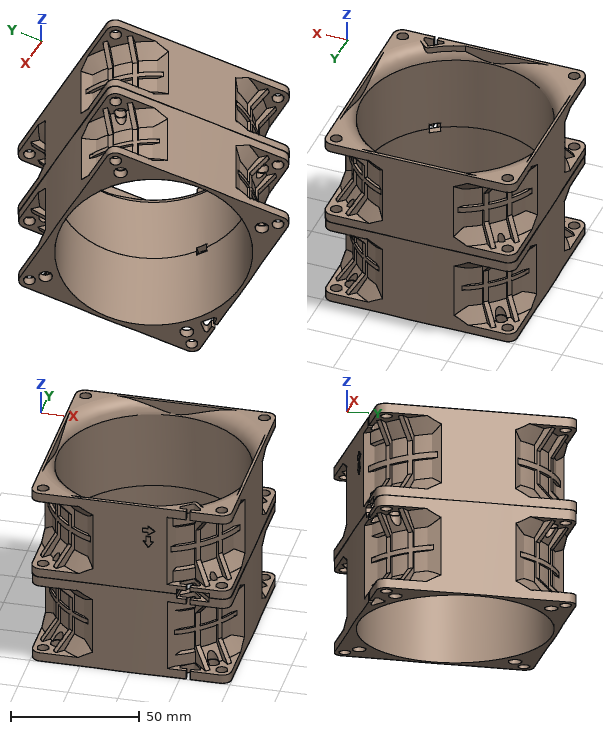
import cadquery as cq
import math

LOWER_HEIGHT = 38.28
UPPER_HEIGHT = 38.0
BORE_RADIUS = 38.5
CORE_RADIUS = 40.4
FLANGE = 3.8
CORNER_TANGENT = 36.1
SCREW_SPACING = 71.5
SCREW_DIAMETER = 4.5
CORNER_ANGLES = (45, 135, 225, 315)
SIDE_ANGLES = (0, 90, 180, 270)
CABLE_CORNER_ANGLE = 315
REACH = 70.0

POCKET_MOUTH_U = 38.75
POCKET_MOUTH_V = 17.8
CONE_RADIUS = 44.9
CONE_HEIGHT = 6.06
RIB_FOOT_RADIUS = 48.5
RIB_OFFSET = 5.0
RIB_THICKNESS = 2.0
CABLE_WALL_RADIUS = 41.2

UPPER_HALF_WIDTH = 40.0
UPPER_RIB_RADIUS = 41.6
UPPER_RIB_FOOT_HEIGHT = 8.3
UPPER_RING_THICKNESS = 2.4
UPPER_WALL_END = (38.2, 13.2)
UPPER_PIN_HOLE_DIAMETER = 2.7
UPPER_PIN_HOLE_U = 44.5

LOWER_HALF_WIDTH = 39.8
LOWER_TOP_FLANGE = 4.2
LOWER_RIB_RADIUS = 41.3
LOWER_RIB_FOOT_HEIGHT = 7.7
LOWER_RING_THICKNESS = 2.0
LOWER_WALL_END = (POCKET_MOUTH_U, 11.5)
LOWER_PIN_HOLE_DIAMETER = 4.4
LOWER_PIN_SEAT_DIAMETER = 5.2
LOWER_PIN_HOLE_U = 44.0
PANEL_HALF_WIDTH = 13.8
PANEL_CROWN = 40.085

MOUTH_RADIUS = 45.3
MOUTH_DEPTH = 5.77
MOUTH_ARC_POINT = (40.4, 2.3)
MOUTH_HALF_X = 38.9
MOUTH_HALF_Y = 38.65
MOUTH_FILL_RADIUS = 40.1
MOUTH_FILL_EDGE_V = 5.1
MOUTH_FILL_ROUNDING = 1.5

SLOT_GAP_LEFT = 22.35
SLOT_GAP_RIGHT = 24.0
SLOT_LEFT = 19.4
SLOT_RIGHT = 27.5
SLOT_FRONT = -38.26
SLOT_SHOULDER = -37.0
SLOT_APEX = (24.2, -33.4)
SLOT_ROUNDING = 0.6
WINDOW_LEFT = 18.65
WINDOW_LEFT_BACK = (19.2, -32.5)
WINDOW_RIGHT_BACK = (21.8, -30.0)
WINDOW_RIGHT = 31.8
WINDOW_HALF_HEIGHT = 2.0

ARROW_RELIEF = 0.295
ARROW_TAIL = 2.2
ARROW_HEAD = 2.7
ARROW_TAIL_HALF = 0.88
ARROW_HEAD_HALF = 2.0
AIRFLOW_ARROW_NECK = (7.4, 22.4)
ROTATION_ARROW_NECK = (7.3, 27.3)


def turned(shape, angle):
    """Shape turned about the bore axis."""
    return shape.rotate((0, 0, 0), (0, 0, 1), angle)


def cylinder(radius, bottom, top):
    return cq.Workplane("XY", origin=(0, 0, bottom)).circle(radius).extrude(top - bottom)


def rounded_block(half_width, height):
    block = cq.Workplane("XY").rect(2 * half_width, 2 * half_width).extrude(height)
    return block.edges("|Z").fillet(half_width - CORNER_TANGENT)


def spool(waist_radius, end_radius, slope_height, bottom, top):
    """Round body with a straight waist that widens conically to both ends."""
    profile = cq.Workplane("XZ").polyline([
        (0, bottom),
        (end_radius, bottom),
        (waist_radius, bottom + slope_height),
        (waist_radius, top - slope_height),
        (end_radius, top),
        (0, top),
    ]).close()
    return profile.revolve(360, (0, 0, 0), (0, 1, 0))


def corner_pocket(
    bottom, top, ring_height, wall_end, rib_radius, rib_foot_height, ring_thickness, has_cable,
):
    """Material removed between the flanges at a corner, leaving the duct, two ribs and a ring."""
    height = top - bottom
    wall_u, wall_v = wall_end
    room = cq.Workplane("XY", origin=(0, 0, bottom)).polyline([
        (REACH, -POCKET_MOUTH_V),
        (POCKET_MOUTH_U, -POCKET_MOUTH_V),
        (wall_u, -wall_v),
        (wall_u, wall_v),
        (POCKET_MOUTH_U, POCKET_MOUTH_V),
        (REACH, POCKET_MOUTH_V),
    ]).close().extrude(height)

    duct = spool(CORE_RADIUS, CONE_RADIUS, CONE_HEIGHT, bottom, top)
    rib_outline = spool(rib_radius, RIB_FOOT_RADIUS, rib_foot_height, bottom, top)
    rib_plates = (
        cq.Workplane("XY", origin=(0, 0, bottom))
        .pushPoints([(REACH / 2, -RIB_OFFSET), (REACH / 2, RIB_OFFSET)])
        .rect(REACH, RIB_THICKNESS)
        .extrude(height)
    )
    ring_plate = cq.Workplane("XY", origin=(0, 0, ring_height)).box(2 * REACH, 2 * REACH, ring_thickness)
    grid = rib_outline.intersect(rib_plates.union(ring_plate))

    pocket = room.cut(duct)
    if has_cable:
        pocket = pocket.union(cable_clearance(room, bottom, top))
    return pocket.cut(grid)


def cable_clearance(room, bottom, top):
    """Room beside the outer rib where the duct's conical ends are cut back for the cable."""
    rib_side = RIB_OFFSET + RIB_THICKNESS / 2
    beside_rib = (
        cq.Workplane("XY", origin=(0, -rib_side, bottom))
        .rect(REACH, -REACH, centered=False)
        .extrude(top - bottom)
    )
    return room.intersect(beside_rib).cut(cylinder(CABLE_WALL_RADIUS, bottom, top))


def cut_pockets(body, bottom, top, *pocket_sizes):
    for angle in CORNER_ANGLES:
        has_cable = angle == CABLE_CORNER_ANGLE
        body = body.cut(turned(corner_pocket(bottom, top, *pocket_sizes, has_cable), angle))
    return body


def screw_holes(height):
    return (
        cq.Workplane("XY")
        .rect(SCREW_SPACING, SCREW_SPACING, forConstruction=True)
        .vertices()
        .circle(SCREW_DIAMETER / 2)
        .extrude(height)
    )


def pin_holes(distance, diameter, bottom, top):
    """Vertical holes on the diagonals, close to the duct."""
    return (
        cq.Workplane("XY", origin=(0, 0, bottom))
        .polarArray(distance, CORNER_ANGLES[0], 360, len(CORNER_ANGLES))
        .circle(diameter / 2)
        .extrude(top - bottom)
    )


def cable_slot(bottom, top):
    """Rounded triangular cable channel with a narrow mouth in the front face of a flange."""
    channel = cq.Workplane("XY", origin=(0, 0, bottom)).polyline([
        (SLOT_LEFT, SLOT_FRONT),
        (SLOT_LEFT, SLOT_SHOULDER),
        SLOT_APEX,
        (SLOT_RIGHT, SLOT_SHOULDER),
        (SLOT_RIGHT, SLOT_FRONT),
    ]).close().extrude(top - bottom).edges("|Z").fillet(SLOT_ROUNDING)
    mouth = (
        cq.Workplane("XY", origin=(SLOT_GAP_LEFT, SLOT_SHOULDER, bottom))
        .rect(SLOT_GAP_RIGHT - SLOT_GAP_LEFT, -REACH, centered=False)
        .extrude(top - bottom)
    )
    return channel.union(mouth)


def cable_window(joint_height):
    """Opening across the joint, half in each housing, through which the cable leaves the bore."""
    return cq.Workplane("XY", origin=(0, 0, joint_height - WINDOW_HALF_HEIGHT)).polyline([
        (WINDOW_LEFT, -UPPER_HALF_WIDTH),
        WINDOW_LEFT_BACK,
        WINDOW_RIGHT_BACK,
        (WINDOW_RIGHT, -UPPER_HALF_WIDTH),
    ]).close().extrude(2 * WINDOW_HALF_HEIGHT)


def upper_duct():
    """Bore with a rounded inlet, clipped to a rectangle and filled in beside the cable slot."""
    arc_radius, arc_depth = MOUTH_ARC_POINT
    throat = UPPER_HEIGHT - MOUTH_DEPTH
    duct = (
        cq.Workplane("XZ")
        .lineTo(BORE_RADIUS, 0)
        .lineTo(BORE_RADIUS, throat)
        .threePointArc((arc_radius, UPPER_HEIGHT - arc_depth), (MOUTH_RADIUS, UPPER_HEIGHT))
        .lineTo(MOUTH_RADIUS, REACH)
        .lineTo(0, REACH)
        .close()
        .revolve(360, (0, 0, 0), (0, 1, 0))
    )
    limits = cq.Workplane("XY").box(2 * MOUTH_HALF_X, 2 * MOUTH_HALF_Y, 2 * REACH)

    fill_tip_u = math.sqrt(MOUTH_FILL_RADIUS**2 - MOUTH_FILL_EDGE_V**2)
    fill_tip = cq.selectors.NearestToPointSelector((fill_tip_u, -MOUTH_FILL_EDGE_V, REACH / 2))
    fill = (
        cq.Workplane("XY", origin=(0, -MOUTH_FILL_EDGE_V, 0))
        .rect(REACH, -MOUTH_FILL_RADIUS / 2, centered=False)
        .extrude(REACH)
        .cut(cylinder(MOUTH_FILL_RADIUS, 0, REACH))
        .edges(fill_tip)
        .fillet(MOUTH_FILL_ROUNDING)
    )
    return duct.intersect(limits).cut(turned(fill, CABLE_CORNER_ANGLE))


def raised_arrow(neck, turn):
    """Arrow on the front face, pointing to +X before being turned about its neck."""
    x, z = neck
    arrow = cq.Workplane("XZ").polyline([
        (-ARROW_TAIL, -ARROW_TAIL_HALF),
        (0, -ARROW_TAIL_HALF),
        (0, -ARROW_HEAD_HALF),
        (ARROW_HEAD, 0),
        (0, ARROW_HEAD_HALF),
        (0, ARROW_TAIL_HALF),
        (-ARROW_TAIL, ARROW_TAIL_HALF),
    ]).close().extrude(ARROW_RELIEF)
    return arrow.rotate((0, 0, 0), (0, 1, 0), turn).translate((x, -UPPER_HALF_WIDTH, z))


def crowned_panel():
    """Slightly crowned pad over the middle of the front face."""
    return (
        cq.Workplane("XY")
        .moveTo(-PANEL_HALF_WIDTH, -BORE_RADIUS)
        .lineTo(-PANEL_HALF_WIDTH, -LOWER_HALF_WIDTH)
        .threePointArc((0, -PANEL_CROWN), (PANEL_HALF_WIDTH, -LOWER_HALF_WIDTH))
        .lineTo(PANEL_HALF_WIDTH, -BORE_RADIUS)
        .close()
        .extrude(LOWER_HEIGHT)
    )


def make_upper_housing():
    pocket_top = UPPER_HEIGHT - FLANGE
    body = rounded_block(UPPER_HALF_WIDTH, UPPER_HEIGHT)
    body = cut_pockets(
        body, FLANGE, pocket_top, UPPER_HEIGHT / 2, UPPER_WALL_END,
        UPPER_RIB_RADIUS, UPPER_RIB_FOOT_HEIGHT, UPPER_RING_THICKNESS,
    )
    body = body.cut(upper_duct())
    body = body.cut(screw_holes(UPPER_HEIGHT))
    body = body.cut(pin_holes(UPPER_PIN_HOLE_U, UPPER_PIN_HOLE_DIAMETER, 0, UPPER_HEIGHT / 2))
    for bottom, top in ((0, FLANGE), (pocket_top, UPPER_HEIGHT)):
        body = body.cut(cable_slot(bottom, top))
    body = body.cut(cable_window(0))
    body = body.union(raised_arrow(ROTATION_ARROW_NECK, 0))
    body = body.union(raised_arrow(AIRFLOW_ARROW_NECK, 90))
    return body.translate((0, 0, LOWER_HEIGHT))


def make_lower_housing():
    pocket_top = LOWER_HEIGHT - LOWER_TOP_FLANGE
    body = rounded_block(LOWER_HALF_WIDTH, LOWER_HEIGHT)
    for angle in SIDE_ANGLES:
        body = body.union(turned(crowned_panel(), angle))
    body = cut_pockets(
        body, FLANGE, pocket_top, LOWER_HEIGHT / 2, LOWER_WALL_END,
        LOWER_RIB_RADIUS, LOWER_RIB_FOOT_HEIGHT, LOWER_RING_THICKNESS,
    )
    body = body.cut(cylinder(BORE_RADIUS, 0, LOWER_HEIGHT))
    body = body.cut(screw_holes(LOWER_HEIGHT))
    body = body.cut(pin_holes(LOWER_PIN_HOLE_U, LOWER_PIN_HOLE_DIAMETER, 0, LOWER_HEIGHT))
    for bottom, top in ((0, FLANGE), (pocket_top, LOWER_HEIGHT)):
        body = body.cut(pin_holes(LOWER_PIN_HOLE_U, LOWER_PIN_SEAT_DIAMETER, bottom, top))
        body = body.cut(cable_slot(bottom, top))
    return body.cut(cable_window(LOWER_HEIGHT))


lower_housing = make_lower_housing()
upper_housing = make_upper_housing()
result = cq.Compound.makeCompound([*lower_housing.vals(), *upper_housing.vals()])